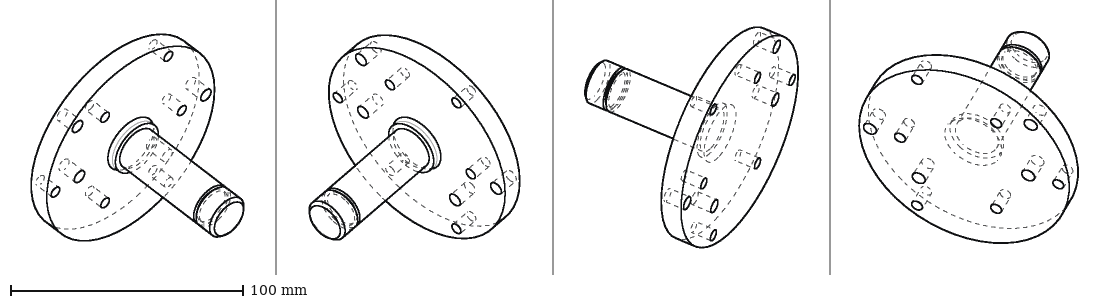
import cadquery as cq
import math

flange_diameter = 98.0
flange_thickness = 10.0

overall_length = 72.5
shaft_radius = 10.0
shaft_chamfer = 1.5
collar_radius = 12.5
collar_end = 13.9
flare_length = 1.9
flare_height = 0.8

groove_start = 61.0
groove_width = 1.5
groove_radius = 8.1

outer_circle_radius = 43.9
inner_circle_radius = 29.9
small_hole_diameter = 5.0
large_hole_diameter = 6.0

outer_small_angles = (60, 180, 300)
inner_small_angles = (0, 120, 240)
outer_large_angles = (0, 135)
inner_large_angles = (180, 315)


def make_flange():
    return cq.Workplane("YZ").circle(flange_diameter / 2).extrude(flange_thickness)


def make_shaft():
    """Revolve the flared collar, shaft and end chamfer about the X axis."""
    flare_end = flange_thickness + flare_length
    flare_radius = (flare_length**2 + flare_height**2) / (2 * flare_height)
    half_sweep = math.asin(flare_length / flare_radius) / 2
    flare_middle = (
        flare_end - flare_radius * math.sin(half_sweep),
        collar_radius + flare_radius * (1 - math.cos(half_sweep)),
    )
    return (
        cq.Workplane("XY")
        .moveTo(0, 0)
        .lineTo(0, collar_radius + flare_height)
        .lineTo(flange_thickness, collar_radius + flare_height)
        .threePointArc(flare_middle, (flare_end, collar_radius))
        .lineTo(collar_end, collar_radius)
        .lineTo(collar_end, shaft_radius)
        .lineTo(groove_start, shaft_radius)
        .lineTo(groove_start, groove_radius)
        .lineTo(groove_start + groove_width, groove_radius)
        .lineTo(groove_start + groove_width, shaft_radius)
        .lineTo(overall_length - shaft_chamfer, shaft_radius)
        .lineTo(overall_length, shaft_radius - shaft_chamfer)
        .lineTo(overall_length, 0)
        .close()
        .revolve(360, (0, 0, 0), (1, 0, 0))
    )


def make_holes(circle_radius, angles, diameter):
    """Cylinders through the flange at the given angles on one circle."""
    centres = [
        (
            circle_radius * math.cos(math.radians(angle)),
            circle_radius * math.sin(math.radians(angle)),
        )
        for angle in angles
    ]
    return cq.Workplane("YZ").pushPoints(centres).circle(diameter / 2).extrude(flange_thickness)


result = make_flange().union(make_shaft())
for circle_radius, angles, diameter in (
    (outer_circle_radius, outer_small_angles, small_hole_diameter),
    (inner_circle_radius, inner_small_angles, small_hole_diameter),
    (outer_circle_radius, outer_large_angles, large_hole_diameter),
    (inner_circle_radius, inner_large_angles, large_hole_diameter),
):
    result = result.cut(make_holes(circle_radius, angles, diameter))